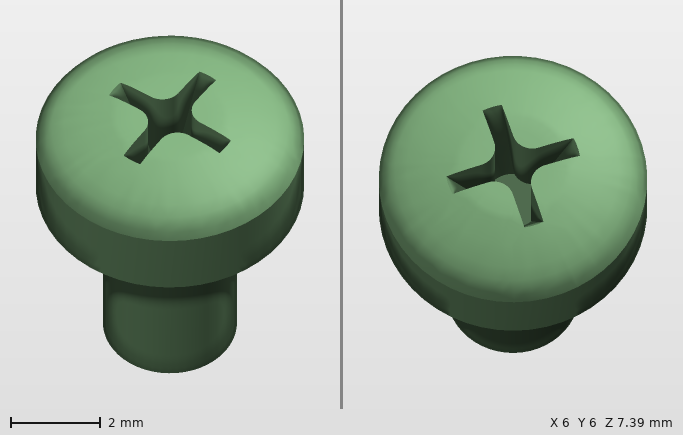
import cadquery as cq

total_height = 7.39
head_radius = 3.0
shank_radius = head_radius / 2
shank_length = 5.0
tip_chamfer = 0.295

rim_height = 1.595
rim_z = shank_length + rim_height
shoulder_radius = 2.62
shoulder_rise = 0.385
crown_radius = 1.59
crown_drop = 0.08
rim_direction = (-1, 2)
crown_direction = (-1, 0)

arm_width = 0.45
arm_reach = 1.51
floor_reach = 0.65
inner_corner_radius = 0.44
recess_depth = 1.995


def make_screw_blank():
    """Revolve the shank and domed head about the Z axis."""
    profile = (
        cq.Workplane("XZ")
        .lineTo(shank_radius - tip_chamfer, 0)
        .lineTo(shank_radius, tip_chamfer)
        .lineTo(shank_radius, shank_length)
        .lineTo(head_radius, shank_length)
        .lineTo(head_radius, rim_z)
        .spline(
            [
                (shoulder_radius, rim_z + shoulder_rise),
                (crown_radius, total_height - crown_drop),
                (0, total_height),
            ],
            tangents=[rim_direction, crown_direction],
            includeCurrent=True,
        )
        .close()
    )
    return profile.revolve(360, (0, 0, 0), (0, 1, 0))


def make_cross_recess():
    """Cross-shaped prism with rounded inner corners, limited by a tapered cone."""
    floor_z = total_height - recess_depth
    arm_length = 2 * (arm_reach + arm_width)
    base = cq.Workplane("XY", origin=(0, 0, floor_z))
    cross = base.rect(arm_length, arm_width).extrude(recess_depth)
    cross = cross.union(base.rect(arm_width, arm_length).extrude(recess_depth))
    inner_corners = cq.selectors.BoxSelector(
        (-arm_width, -arm_width, floor_z), (arm_width, arm_width, total_height)
    )
    cross = cross.edges("|Z").edges(inner_corners).fillet(inner_corner_radius)
    mouth_z = total_height - crown_drop
    taper = (arm_reach - floor_reach) / (mouth_z - floor_z)
    top_reach = arm_reach + taper * crown_drop
    cone = cq.Workplane(
        cq.Solid.makeCone(floor_reach, top_reach, recess_depth, cq.Vector(0, 0, floor_z))
    )
    return cross.intersect(cone)


result = make_screw_blank().cut(make_cross_recess())